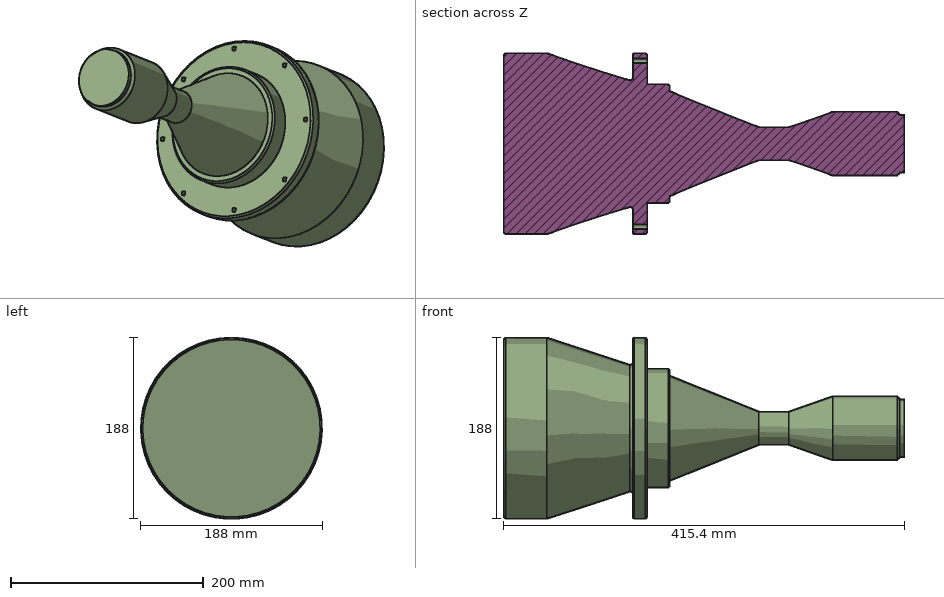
import cadquery as cq


BARREL_DIAMETER = 188.0
BARREL_LENGTH = 45.0
BARREL_EDGE_CHAMFER = 2.0

FRONT_CONE_END_DIAMETER = 131.6
FLARE_RADIUS = 3.0

FLANGE_DIAMETER = BARREL_DIAMETER
FLANGE_FRONT_X = 134.0
FLANGE_THICKNESS = 15.0
FLANGE_FRONT_CHAMFER = 1.3
FLANGE_BACK_CHAMFER = 2.0

HOLE_COUNT = 8
HOLE_DIAMETER = 4.5
HOLE_CIRCLE_DIAMETER = 172.0

HUB_DIAMETER = 123.5
HUB_LENGTH = 23.5
HUB_CHAMFER = 2.0

MIDDLE_CONE_START_DIAMETER = 109.0
NECK_DIAMETER = 34.5
NECK_START_X = 264.7
NECK_END_X = 295.7

REAR_BARREL_DIAMETER = 66.4
REAR_BARREL_START_X = 341.0
REAR_BARREL_CHAMFER = 3.0

LIP_DIAMETER = 60.0
LIP_LENGTH = 4.5
TOTAL_LENGTH = 415.4


FULL_TURN = 360.0

FLANGE_BACK_X = FLANGE_FRONT_X + FLANGE_THICKNESS
HUB_END_X = FLANGE_BACK_X + HUB_LENGTH
REAR_BARREL_END_X = TOTAL_LENGTH - LIP_LENGTH


def make_body():
    """Solid of revolution about X, with its small edge breaks in the outline."""
    barrel_radius = BARREL_DIAMETER / 2
    flange_radius = FLANGE_DIAMETER / 2
    hub_radius = HUB_DIAMETER / 2
    neck_radius = NECK_DIAMETER / 2
    rear_radius = REAR_BARREL_DIAMETER / 2
    lip_radius = LIP_DIAMETER / 2
    cone_end_radius = FRONT_CONE_END_DIAMETER / 2
    outline = (
        cq.Workplane("XZ")
        .moveTo(0, 0)
        .lineTo(0, barrel_radius - BARREL_EDGE_CHAMFER)
        .lineTo(BARREL_EDGE_CHAMFER, barrel_radius)
        .lineTo(BARREL_LENGTH, barrel_radius)
        .lineTo(FLANGE_FRONT_X - FLARE_RADIUS, cone_end_radius)
        .radiusArc((FLANGE_FRONT_X, cone_end_radius + FLARE_RADIUS), -FLARE_RADIUS)
        .lineTo(FLANGE_FRONT_X, flange_radius - FLANGE_FRONT_CHAMFER)
        .lineTo(FLANGE_FRONT_X + FLANGE_FRONT_CHAMFER, flange_radius)
        .lineTo(FLANGE_BACK_X - FLANGE_BACK_CHAMFER, flange_radius)
        .lineTo(FLANGE_BACK_X, flange_radius - FLANGE_BACK_CHAMFER)
        .lineTo(FLANGE_BACK_X, hub_radius)
        .lineTo(HUB_END_X - HUB_CHAMFER, hub_radius)
        .lineTo(HUB_END_X, hub_radius - HUB_CHAMFER)
        .lineTo(HUB_END_X, MIDDLE_CONE_START_DIAMETER / 2)
        .lineTo(NECK_START_X, neck_radius)
        .lineTo(NECK_END_X, neck_radius)
        .lineTo(REAR_BARREL_START_X, rear_radius)
        .lineTo(REAR_BARREL_END_X - REAR_BARREL_CHAMFER, rear_radius)
        .lineTo(REAR_BARREL_END_X, rear_radius - REAR_BARREL_CHAMFER)
        .lineTo(REAR_BARREL_END_X, lip_radius)
        .lineTo(TOTAL_LENGTH, lip_radius)
        .lineTo(TOTAL_LENGTH, 0)
        .close()
    )
    return outline.revolve(FULL_TURN, (0, 0, 0), (1, 0, 0))


def make_flange_holes():
    """Ring of small through holes parallel to the axis."""
    return (
        cq.Workplane("YZ", origin=(FLANGE_FRONT_X, 0, 0))
        .polarArray(HOLE_CIRCLE_DIAMETER / 2, 0, FULL_TURN, HOLE_COUNT)
        .circle(HOLE_DIAMETER / 2)
        .extrude(FLANGE_THICKNESS)
    )


result = make_body().cut(make_flange_holes())